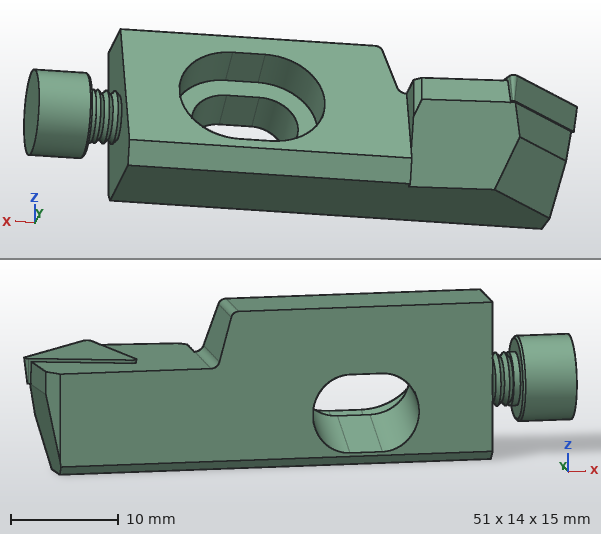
import cadquery as cq
import math


block_end = 42.9
block_height = 15.0
top_width = 6.35
back_angle = 20
back_kink_height = 2.25
base_chamfer = 0.9
lean = math.tan(math.radians(back_angle))
back_kink_y = top_width + (block_height - back_kink_height) * lean

head_end = 16.35
shelf_height = 9.7
step_foot = 17.0
step_angle = 15
step_foot_radius = 0.8
step_top_radius = 0.7

insert_top = 10.0
seat_height = 7.55
insert_radius = 0.4
insert_side = 9.65
insert_corner_y = 6.75
edge_angle = 45
insert_relief = 7
insert_thickness = insert_top - seat_height

side_tilt = 5
left_x = 0.6
left_y = 6.3
left_relief = 9
back_relief = 22
back_corner_x = 7.65
back_corner_y = 13.2
edge_face_y = 6.3
relief_break = 4.6
edge_relief = 7
edge_lower_relief = 32
front_chamfer_x = 2.15
front_chamfer_angle = 51
rear_chamfer = 0.6

slot_x = 31.0
slot_z = 4.95
slot_flat = 3.05
slot_radius = 3.45
recess_radius = 5.3
recess_floor = 5.4

screw_y = 4.85
screw_z = 6.75
head_radius = 4.0
screw_head_start = 46.0
screw_head_chamfer = 0.2
screw_end = 51.05
thread_radius = 2.5
thread_pitch = 0.8
thread_depth = 0.4
neck_start = 45.35

reach = 51.05


def make_block():
    """Bar with a leaning back face, its left end sloping down to the head."""
    section = (
        cq.Workplane("YZ", origin=(head_end, 0, 0))
        .moveTo(0, 0)
        .lineTo(back_kink_y - back_kink_height * lean, 0)
        .lineTo(back_kink_y, back_kink_height)
        .lineTo(top_width, block_height)
        .lineTo(0, block_height)
        .close()
        .extrude(block_end - head_end)
    )
    step_top = step_foot + (block_height - shelf_height) * math.tan(math.radians(step_angle))
    step = (
        cq.Workplane("XZ")
        .moveTo(head_end, 0)
        .lineTo(block_end, 0)
        .lineTo(block_end, block_height)
        .lineTo(step_top, block_height)
        .lineTo(step_foot, shelf_height)
        .lineTo(head_end, shelf_height)
        .close()
        .extrude(-reach)
    )
    step = step.edges(cq.selectors.NearestToPointSelector((step_top, reach / 2, block_height))).fillet(
        step_top_radius
    )
    step = step.edges(cq.selectors.NearestToPointSelector((step_foot, reach / 2, shelf_height))).fillet(
        step_foot_radius
    )
    return section.intersect(step)


def side_cutter(point, inward_angle, reliefs=()):
    """Material outside a side face through `point` whose inward normal has this plan angle.

    The face is upright at the top; each (height, angle) in `reliefs`, from the top down,
    starts a stretch that leans inward by that angle.
    """
    angle = math.radians(inward_angle)
    inward = (math.cos(angle), math.sin(angle), 0)
    along = (math.sin(angle), -math.cos(angle), 0)
    outline = [(-reach, 0), (-reach, block_height), (0, block_height)]
    inset = 0
    for index, (height, relief) in enumerate(reliefs):
        outline.append((inset, height))
        lower = reliefs[index + 1][0] if index + 1 < len(reliefs) else 0
        inset += (height - lower) * math.tan(math.radians(relief))
    outline.append((inset, 0))
    plane = cq.Plane(origin=(*point, 0), xDir=inward, normal=along)
    return cq.Workplane(plane).polyline(outline).close().extrude(reach, both=True)


def make_head():
    """Head under the insert, trimmed by its relieved side faces and corner chamfers."""
    head = cq.Workplane("XY").box(head_end, reach, shelf_height, centered=False)
    rear_y = back_corner_y - (head_end - back_corner_x) * math.tan(math.radians(side_tilt))
    cutters = [
        side_cutter((left_x, left_y), side_tilt, [(seat_height, left_relief)]),
        side_cutter((back_corner_x, back_corner_y), -90 - side_tilt, [(seat_height, back_relief)]),
        side_cutter(
            (0, edge_face_y),
            edge_angle - 90,
            [(seat_height, edge_relief), (relief_break, edge_lower_relief)],
        ),
        side_cutter((front_chamfer_x, 0), 90 - front_chamfer_angle),
        side_cutter((head_end, rear_y - rear_chamfer), -135),
    ]
    for cutter in cutters:
        head = head.cut(cutter)
    return head


def slot_cutter(radius, start, length):
    """Round-ended slot along the leaning axis, from `start` beyond the front face."""
    axis = (0, math.cos(math.radians(back_angle)), math.sin(math.radians(back_angle)))
    plane = cq.Plane(origin=(slot_x, 0, slot_z), xDir=(1, 0, 0), normal=axis)
    return (
        cq.Workplane(plane)
        .workplane(offset=start)
        .slot2D(slot_flat + 2 * radius, 2 * radius)
        .extrude(length)
    )


def base_chamfer_cutter():
    """Wedge along the lower front edge."""
    return (
        cq.Workplane("YZ")
        .polyline([(0, 0), (base_chamfer, 0), (0, base_chamfer)])
        .close()
        .extrude(block_end)
    )


def make_screw():
    """Adjusting screw: cylindrical head, plain neck and ring-shaped thread crests."""
    root = thread_radius - thread_depth
    profile = cq.Workplane("XY").moveTo(block_end, 0).lineTo(block_end, root)
    crests = int((neck_start - block_end) / thread_pitch)
    for crest in range(crests):
        crest_start = block_end + crest * thread_pitch
        profile = profile.lineTo(crest_start + thread_pitch / 2, thread_radius)
        profile = profile.lineTo(crest_start + thread_pitch, root)
    profile = (
        profile.lineTo(neck_start, thread_radius)
        .lineTo(screw_head_start, thread_radius)
        .lineTo(screw_head_start, head_radius - screw_head_chamfer)
        .lineTo(screw_head_start + screw_head_chamfer, head_radius)
        .lineTo(screw_end, head_radius)
        .lineTo(screw_end, 0)
        .close()
    )
    return profile.revolve(360, (0, 0, 0), (1, 0, 0)).translate((0, screw_y, screw_z))


def make_insert():
    """Equilateral insert with rounded corners, its sides tapering inward below the top."""
    first = (insert_radius, insert_corner_y)
    corners = [first]
    for angle in (edge_angle - 60, edge_angle):
        direction = math.radians(angle)
        corners.append(
            (first[0] + insert_side * math.cos(direction), first[1] + insert_side * math.sin(direction))
        )
    return (
        cq.Workplane("XY", origin=(0, 0, insert_top))
        .polyline(corners)
        .close()
        .offset2D(insert_radius, "arc")
        .extrude(-insert_thickness, taper=insert_relief)
    )


insert = make_insert()

holder = (
    make_block()
    .union(make_head())
    .cut(slot_cutter(slot_radius, -reach / 2, reach))
    .cut(slot_cutter(recess_radius, recess_floor, reach))
    .cut(base_chamfer_cutter())
    .cut(insert)
    .union(make_screw())
)

result = cq.Compound.makeCompound([holder.val(), insert.val()])